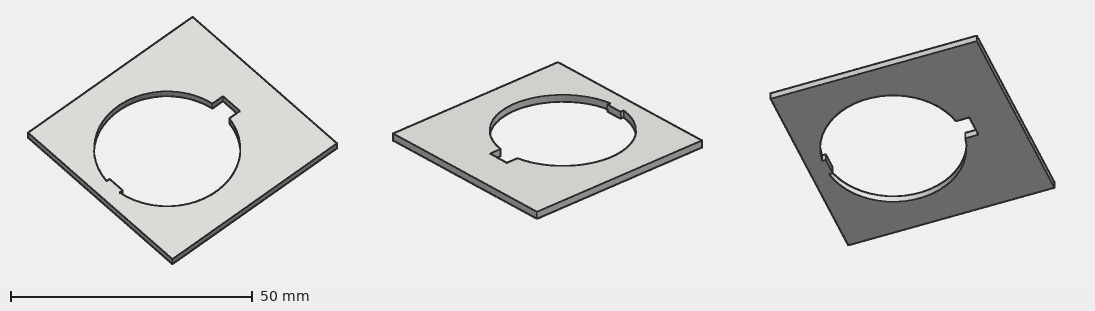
import cadquery as cq

plate_width = 44.8
plate_length = 45.75
plate_thickness = 1.7

opening_diameter = 30.3
opening_offset_y = -4.25

keyway_width = 5.2
keyway_reach = 17.85

tab_width = 4.05
tab_reach = 14.2


def opening_profile():
    """Closed outline of the opening, drawn about its own centre."""
    radius = opening_diameter / 2
    keyway_half = keyway_width / 2
    tab_half = tab_width / 2
    keyway_root = (radius**2 - keyway_half**2) ** 0.5
    tab_root = (radius**2 - tab_half**2) ** 0.5
    return (
        cq.Workplane("XY")
        .moveTo(-keyway_half, keyway_root)
        .lineTo(-keyway_half, keyway_reach)
        .lineTo(keyway_half, keyway_reach)
        .lineTo(keyway_half, keyway_root)
        .threePointArc((radius, 0), (tab_half, -tab_root))
        .lineTo(tab_half, -tab_reach)
        .lineTo(-tab_half, -tab_reach)
        .lineTo(-tab_half, -tab_root)
        .threePointArc((-radius, 0), (-keyway_half, keyway_root))
        .close()
    )


plate = cq.Workplane("XY").box(
    plate_width, plate_length, plate_thickness, centered=(True, True, False)
)
opening = opening_profile().extrude(plate_thickness).translate((0, opening_offset_y, 0))

result = plate.cut(opening)